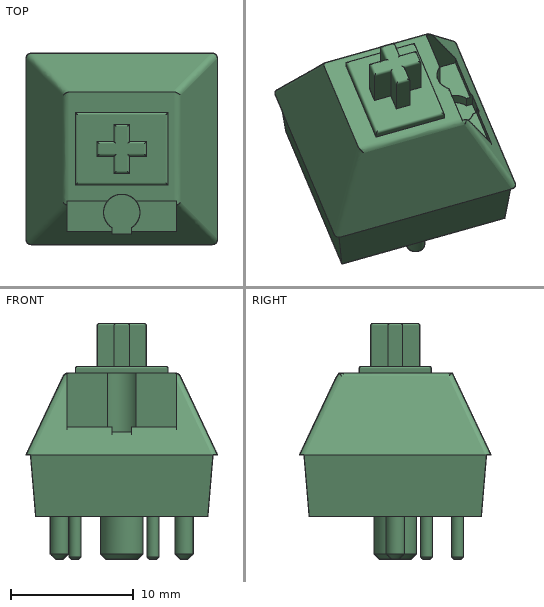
import cadquery as cq

base_z = 3.48
seam_z = 8.5
shoulder_z = 15.17
plate_top_z = 15.7
stem_top_z = 19.2

base_side = 14.02
lower_seam_side = 14.86
upper_seam_side = 15.6
shoulder_side = 9.3
housing_round = 0.5

plate_length = 7.55
plate_width = 5.9
stem_span = 4.01
x_arm_width = 1.2
y_arm_width = 1.27
slider_round = 0.2

pocket_width = 8.95
pocket_back_y = -4.22
pocket_front_y = -6.72
pocket_floor_z = 10.18
lamp_diameter = 2.95
lamp_y = -5.16
lamp_floor_z = 9.15
lamp_slot_width = 1.61
lamp_slot_front_y = -6.91

pin_grid = 2.53
post_diameter = 3.5
side_pin_diameter = 1.5
side_pin_x = 2 * pin_grid
contact_diameter = 1.0
post_chamfer = 0.46
contact_chamfer = 0.21
contact_positions = [(-1.5 * pin_grid, pin_grid), (pin_grid, 2 * pin_grid)]


def square_frustum(bottom_side, top_side, bottom_z, top_z):
    return (
        cq.Workplane("XY")
        .workplane(offset=bottom_z)
        .rect(bottom_side, bottom_side)
        .workplane(offset=top_z - bottom_z)
        .rect(top_side, top_side)
        .loft(ruled=True)
    )


def block(length, width, bottom_z, top_z):
    return (
        cq.Workplane("XY")
        .workplane(offset=bottom_z)
        .rect(length, width)
        .extrude(top_z - bottom_z)
    )


def pin(x, y, diameter, chamfer):
    return (
        cq.Workplane("XY")
        .center(x, y)
        .circle(diameter / 2)
        .extrude(base_z)
        .faces("<Z")
        .chamfer(chamfer)
    )


def make_housing():
    lower = square_frustum(base_side, lower_seam_side, base_z, seam_z)
    upper = square_frustum(upper_seam_side, shoulder_side, seam_z, shoulder_z)
    corners = upper.edges("not(#Z)").vals()
    top_sides = upper.faces(">Z").edges("|Y").vals()
    upper = upper.newObject(corners + top_sides).fillet(housing_round)
    return lower.union(upper)


def make_pocket():
    recess = (
        cq.Workplane("XY")
        .workplane(offset=pocket_floor_z)
        .center(0, (pocket_back_y + pocket_front_y) / 2)
        .rect(pocket_width, pocket_back_y - pocket_front_y)
        .extrude(shoulder_z - pocket_floor_z)
    )
    lamp_plane = cq.Workplane("XY").workplane(offset=lamp_floor_z)
    lamp_height = shoulder_z - lamp_floor_z
    lamp = lamp_plane.center(0, lamp_y).circle(lamp_diameter / 2).extrude(lamp_height)
    slot = (
        lamp_plane.center(0, (lamp_y + lamp_slot_front_y) / 2)
        .rect(lamp_slot_width, lamp_y - lamp_slot_front_y)
        .extrude(lamp_height)
    )
    return recess.union(lamp).union(slot)


def make_slider():
    plate = block(plate_length, plate_width, shoulder_z, plate_top_z)
    plate = plate.faces(">Z").edges().fillet(slider_round)
    x_arm = block(stem_span, x_arm_width, plate_top_z, stem_top_z)
    y_arm = block(y_arm_width, stem_span, plate_top_z, stem_top_z)
    stem = x_arm.union(y_arm).clean()
    stem = stem.faces(">Z").edges().fillet(slider_round)
    return plate.union(stem)


result = make_housing().cut(make_pocket()).union(make_slider())
result = result.union(pin(0, 0, post_diameter, post_chamfer))
for side in (-1, 1):
    result = result.union(pin(side * side_pin_x, 0, side_pin_diameter, post_chamfer))
for contact_x, contact_y in contact_positions:
    result = result.union(pin(contact_x, contact_y, contact_diameter, contact_chamfer))